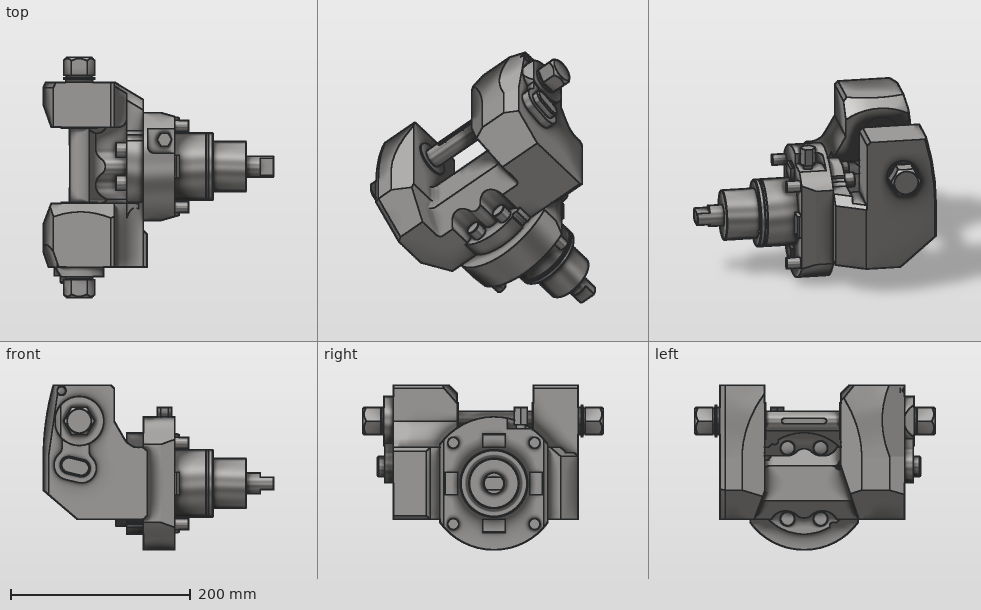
import cadquery as cq
import math


FLANGE_R = 74.0
FLANGE_T = 35.0
FLANGE_HALF_W = 60.0
FLANGE_CHAMFER_X = 15.5
FLANGE_CHAMFER_Y = 4.4
PORT_X, PORT_Y = -11.5, 30.0
PORT_FLOOR_Z = 60.7
PORT_NECK_R, PORT_NECK_H = 5.0, 4.8
PORT_HEX_AC, PORT_TOP_Z = 16.5, 84.5
POCKET_X0, POCKET_Y0, POCKET_R = -30.0, 15.0, 7.0

HUB_R, HUB_L = 37.6, 42.8
HUB_GROOVES = ((34.4, 0.4), (37.0, 0.9))
GROOVE_DEPTH = 0.5
HUB_CHAMFER = 1.0
NOSE_R, NOSE_END, NOSE_CHAMFER = 27.9, 79.5, 0.8
SHAFT_R, SHAFT_END, SHAFT_CHAMFER = 11.75, 110.0, 0.8
TANG_START, TANG_HALF_T = 95.2, 6.9

KEY_W, KEY_T, KEY_R0, KEY_R1 = 25.0, 4.8, 40.0, 55.0
KEY_CHAMFER_X, KEY_CHAMFER_R = 2.4, 1.0
STUD_R, STUD_L, STUD_POS = 6.1, 15.3, 45.2

DISC_R = 56.4
DISC_T = 18.5
RELIEF_Y, RELIEF_Z = 28.7, 45.6
RELIEF_GROOVE, RELIEF_CREST, RELIEF_END_Y = (32.8, 43.2), (35.8, 44.2), 47.3
HEAD_R, HEAD_L, HEAD_Y, HEAD_Z = 8.1, 12.2, 18.35, 39.3
HEAD_CHAMFER = 0.5
BACK_X = -FLANGE_T
DISC_X = BACK_X - DISC_T

BODY_LENGTH = 256.27
BASE_HALF_H = 40.0
TOP_Z = 109.4
FRONT_X = SHAFT_END - BODY_LENGTH
CURVE_START_Z = 28.8
TOP_FRONT_X = -135.0
SLOPE_X, SLOPE_Z = -108.3, -7.5
ARM_REAR_X, ARM_REAR_CHAMFER = -67.2, 3.8
NEAR_OUT_Y, NEAR_IN_Y = -111.9, -40.9
FAR_OUT_Y, FAR_IN_Y = 93.5, 43.9
NECK_R, NECK_X, NECK_ANGLE = 18.2, -40.0, 60.0
PAD_T, PAD_IN_Y, PAD_CHAMFER = 4.2, -71.0, 4.15

TAPER_X = -137.4
NEAR_TAPER_Y, FAR_TAPER_Y = -64.2, 68.9
OUTER_TAPER_Y, OUTER_TAPER_X = -95.0, -140.4
OUTER_TAPER_Z, OUTER_TAPER_LEAN = 30.0, 11.4
FAR_CHAMFER_Y, FAR_CHAMFER_X = 5.8, 2.5
CONE_X, CONE_Z, CONE_R, CONE_DEPTH = -105.0, 30.0, 70.0, 20.0
TIP_HOLE_X, TIP_HOLE_Z, TIP_HOLE_R, TIP_HOLE_DEPTH = -126.1, 103.0, 4.7, 4.8
TIP_HOLE_CHAMFER = 0.5

BRIDGE_X, BRIDGE_HALF_H = -103.0, 19.5
BRIDGE_TOP_SLOPE, BRIDGE_LOW_SLOPE = 0.74, 0.857
NEAR_FLARE_Z, NEAR_FLARE_Y = BRIDGE_HALF_H, -61.0
FAR_FLARE_Z, FAR_FLARE_Y = -9.0, 55.6
WALL_FILLET = 5.6
SCALLOP_R, SCALLOP_Y, SCALLOP_Z = 18.0, 20.5, 30.5
RIDGE_HALF_W, RIDGE_Z = 7.0, 38.5
LEDGE_Z, LEDGE_R = 34.0, 9.0
SPOT_X, SPOT_Y, SPOT_R, SPOT_FLOOR_Z = -86.5, 47.9, 10.8, 25.5
BEVEL_FRONT = (DISC_X, -62.0, 47.5)
BEVEL_SIDE = (-40.0, -47.0, 40.0)
BEVEL_INNER = (-48.8, NEAR_IN_Y, 40.0)
DIAGONAL_START_X, DIAGONAL_END_Y = -66.4, 74.5
DIAGONAL_CHAMFER = 10.0

BAR_X, BAR_Z, BAR_R = -106.3, 69.4, 11.0
BAR_SLOT_L, BAR_SLOT_W, BAR_SLOT_DEPTH = 50.0, 5.7, 2.0
COLLAR_R, COLLAR_T = 20.2, 1.5
NUT_AF, NUT_FACE_R = 30.2, 13.4
NUT_WASHER_R, NUT_NECK_R, NUT_WASHER_SHARE = 15.1, 14.2, 0.75
NUT_SPAN = 267.7
FAR_END_Y, NUT_L = 121.7, 20.2
NEAR_END_Y = FAR_END_Y - NUT_SPAN
FAR_RING_R, FAR_RING_Y, FAR_RING_T = 17.4, 97.0, 1.8
BOSS_R, BOSS_END_Y = 27.3, -122.3
BOSS_CUT_X0, BOSS_CUT_X1 = -133.0, -126.8
LEVER_R, LEVER_X, LEVER_Z, LEVER_END_Y = 16.5, -110.75, 18.7, -121.5
LEVER_SPAN, LEVER_ANGLE = 14.5, -13.6
LEVER_NECK_X0, LEVER_NECK_X1, LEVER_FILLET = -125.3, -95.2, 10.0
KNOB_R, KNOB_END_Y, KNOB_CHAMFER = 9.6, -129.8, 1.6

BIG = 400.0


def cyl_x(radius, x0, x1, y=0.0, z=0.0):
    return cq.Workplane("YZ", origin=(x0, y, z)).circle(radius).extrude(x1 - x0)


def cyl_y(radius, y0, y1, x=BAR_X, z=BAR_Z):
    return cq.Workplane("XZ", origin=(x, y0, z)).circle(radius).extrude(y0 - y1)


def box(x0, x1, y0, y1, z0, z1):
    return cq.Workplane("XY").box(x1 - x0, y1 - y0, z1 - z0, centered=False).translate((x0, y0, z0))


def prism_y(points, y0, y1):
    return cq.Workplane("XZ", origin=(0, y1, 0)).polyline(points).close().extrude(y1 - y0)


def prism_z(points, z0=-BIG / 2, z1=BIG / 2):
    return cq.Workplane("XY", origin=(0, 0, z0)).polyline(points).close().extrude(z1 - z0)


def make_spindle():
    hub = cyl_x(HUB_R, 0, HUB_L).faces(">X").chamfer(HUB_CHAMFER)
    for start, width in HUB_GROOVES:
        groove = cyl_x(HUB_R + 1, start, start + width)
        hub = hub.cut(groove.cut(cyl_x(HUB_R - GROOVE_DEPTH, start, start + width)))
    nose = cyl_x(NOSE_R, 0, NOSE_END).faces(">X").chamfer(NOSE_CHAMFER)
    shaft = cyl_x(SHAFT_R, 0, SHAFT_END).faces(">X").chamfer(SHAFT_CHAMFER)
    for side in (0, 180):
        flat = box(TANG_START, SHAFT_END, -SHAFT_R, SHAFT_R, TANG_HALF_T, SHAFT_R)
        shaft = shaft.cut(flat.rotate((0, 0, 0), (1, 0, 0), side))
    return hub.union(nose).union(shaft)


def make_flange():
    edge_y = FLANGE_HALF_W - FLANGE_CHAMFER_Y
    outline = prism_z([
        (BACK_X, -FLANGE_HALF_W), (-FLANGE_CHAMFER_X, -FLANGE_HALF_W), (0, -edge_y),
        (0, edge_y), (-FLANGE_CHAMFER_X, FLANGE_HALF_W), (BACK_X, FLANGE_HALF_W),
    ])
    flange = cyl_x(FLANGE_R, BACK_X, 0).intersect(outline)
    pocket = box(POCKET_X0, POCKET_R, POCKET_Y0, FLANGE_HALF_W, PORT_FLOOR_Z, FLANGE_R + 1)
    pocket = pocket.edges("|Z and <X and <Y").fillet(POCKET_R)
    flange = flange.cut(pocket)
    neck_top = PORT_FLOOR_Z + PORT_NECK_H
    plug = cq.Workplane("XY", origin=(PORT_X, PORT_Y, PORT_FLOOR_Z)).circle(PORT_NECK_R).extrude(PORT_NECK_H)
    head = cq.Workplane("XY", origin=(PORT_X, PORT_Y, neck_top)).polygon(6, PORT_HEX_AC)
    return flange.union(plug).union(head.extrude(PORT_TOP_Z - neck_top))


def make_seat_keys_and_studs():
    key = prism_y([
        (0, KEY_R0), (KEY_T, KEY_R0), (KEY_T, KEY_R1 - KEY_CHAMFER_R),
        (KEY_T - KEY_CHAMFER_X, KEY_R1), (0, KEY_R1),
    ], -KEY_W / 2, KEY_W / 2)
    stud = cyl_x(STUD_R, 0, STUD_L, STUD_POS, STUD_POS)
    parts = cq.Workplane("XY")
    for quarter in range(4):
        pair = key.union(stud).rotate((0, 0, 0), (1, 0, 0), 90 * quarter)
        parts = parts.add(pair)
    return parts.combine()


def make_bearing_disc():
    """Round disc with stepped reliefs on two opposite corners."""
    disc = cyl_x(DISC_R, DISC_X, BACK_X)
    relief = (
        cq.Workplane("YZ", origin=(DISC_X, 0, 0))
        .moveTo(RELIEF_Y, DISC_R).lineTo(RELIEF_Y, RELIEF_Z)
        .threePointArc(RELIEF_GROOVE, RELIEF_CREST)
        .lineTo(RELIEF_END_Y, BASE_HALF_H).lineTo(DISC_R, BASE_HALF_H).lineTo(DISC_R, DISC_R)
        .close().extrude(DISC_T)
    )
    for half_turn in (0, 180):
        disc = disc.cut(relief.rotate((0, 0, 0), (1, 0, 0), half_turn))
    return disc


def make_bolt_heads():
    heads = cq.Workplane("XY")
    for y in (-HEAD_Y, HEAD_Y):
        for z in (-HEAD_Z, HEAD_Z):
            head = cyl_x(HEAD_R, DISC_X - HEAD_L, DISC_X, y, z)
            heads = heads.add(head.faces("<X").chamfer(HEAD_CHAMFER))
    return heads.combine()


def arm_front(start):
    """Lower edge, front slope, curved nose and top edge shared by both arm outlines."""
    rise = TOP_Z - CURVE_START_Z
    back = TOP_FRONT_X - FRONT_X
    radius = (rise ** 2 + back ** 2) / (2 * back)
    half = 0.5 * math.asin(rise / radius)
    middle = (FRONT_X + radius * (1 - math.cos(half)), CURVE_START_Z + radius * math.sin(half))
    return (
        cq.Workplane("XZ", origin=start)
        .moveTo(BACK_X, -BASE_HALF_H)
        .lineTo(SLOPE_X, -BASE_HALF_H)
        .lineTo(FRONT_X, SLOPE_Z)
        .lineTo(FRONT_X, CURVE_START_Z)
        .threePointArc(middle, (TOP_FRONT_X, TOP_Z))
        .lineTo(ARM_REAR_X - ARM_REAR_CHAMFER, TOP_Z)
        .lineTo(ARM_REAR_X, TOP_Z - ARM_REAR_CHAMFER)
    )


def inner_taper(inner_y, end_y):
    slope = (end_y - inner_y) / (FRONT_X - TAPER_X)
    side = -math.copysign(1, inner_y)
    beyond = (TAPER_X + side / slope, inner_y + side)
    reach = 1.5 * (end_y - inner_y)
    return prism_z([beyond, (TAPER_X + reach / slope, inner_y + reach), (TAPER_X + reach / slope, beyond[1])])


def outer_taper():
    """Corner cut of the near arm: upright below, leaning back above."""
    slope = (OUTER_TAPER_X - FRONT_X) / (NEAR_OUT_Y - OUTER_TAPER_Y)
    low_y = NEAR_OUT_Y - 3
    far_x = FRONT_X - 15
    corner = [
        (OUTER_TAPER_X + slope * (low_y - NEAR_OUT_Y), low_y),
        (far_x, NEAR_OUT_Y + (far_x - OUTER_TAPER_X) / slope),
        (far_x, low_y),
    ]
    upper_h = TOP_Z - OUTER_TAPER_Z
    leaned = [(x + OUTER_TAPER_LEAN, y) for x, y in corner]
    upper = (
        cq.Workplane("XY", origin=(0, 0, OUTER_TAPER_Z)).polyline(corner).close()
        .workplane(offset=upper_h).polyline(leaned).close().loft(ruled=True)
    )
    return prism_z(corner, z1=OUTER_TAPER_Z).union(upper)


def make_near_arm():
    angle = math.radians(NECK_ANGLE)
    line_end = (
        NECK_X - NECK_R * math.sin(angle),
        BASE_HALF_H + NECK_R * (1 - math.cos(angle)),
    )
    arc_middle = (
        NECK_X - NECK_R * math.sin(angle / 2),
        BASE_HALF_H + NECK_R * (1 - math.cos(angle / 2)),
    )
    line_start_z = line_end[1] + (line_end[0] - ARM_REAR_X) * math.tan(angle)
    arm = (
        arm_front((0, NEAR_IN_Y, 0))
        .lineTo(ARM_REAR_X, line_start_z)
        .lineTo(*line_end)
        .threePointArc(arc_middle, (NECK_X, BASE_HALF_H))
        .lineTo(BACK_X, BASE_HALF_H)
        .close().extrude(NEAR_IN_Y - NEAR_OUT_Y)
    )
    arm = arm.cut(inner_taper(NEAR_IN_Y, NEAR_TAPER_Y)).cut(outer_taper())

    ring = cq.Workplane("XZ", origin=(CONE_X, NEAR_IN_Y, CONE_Z))
    outside = ring.circle(BIG / 2).extrude(CONE_DEPTH)
    cone = ring.circle(CONE_R).workplane(offset=CONE_DEPTH).circle(CONE_R + CONE_DEPTH).loft()
    relief = outside.cut(cone).intersect(box(-BIG, BIG, -BIG, BIG, BAR_Z, BIG))
    arm = arm.cut(relief)

    hole = cyl_y(TIP_HOLE_R, NEAR_OUT_Y, NEAR_OUT_Y + TIP_HOLE_DEPTH, TIP_HOLE_X, TIP_HOLE_Z)
    mouth = cq.Workplane("XZ", origin=(TIP_HOLE_X, NEAR_OUT_Y, TIP_HOLE_Z))
    mouth = mouth.circle(TIP_HOLE_R + TIP_HOLE_CHAMFER).extrude(-TIP_HOLE_CHAMFER, taper=45)
    arm = arm.cut(hole).cut(mouth)

    pad = box(BACK_X, BACK_X + PAD_T, NEAR_OUT_Y, PAD_IN_Y, -BASE_HALF_H, BASE_HALF_H)
    pad = pad.faces(">X").edges(">Y or >Z or <Z").chamfer(PAD_CHAMFER)
    return arm.union(pad)


def make_far_arm():
    arm = (
        arm_front((0, FAR_OUT_Y, 0))
        .lineTo(ARM_REAR_X, LEDGE_Z)
        .lineTo(DISC_X, LEDGE_Z)
        .lineTo(DISC_X, BASE_HALF_H)
        .lineTo(BACK_X, BASE_HALF_H)
        .close().extrude(FAR_OUT_Y - FAR_IN_Y)
    )
    front_edges = cq.selectors.BoxSelector(
        (FRONT_X - 5, FAR_OUT_Y - 1, -BASE_HALF_H + 1), (SLOPE_X - 1, FAR_OUT_Y + 1, TOP_Z - 1))
    arm = arm.edges(front_edges).chamfer(FAR_CHAMFER_Y, FAR_CHAMFER_X)
    arm = arm.cut(inner_taper(FAR_IN_Y, FAR_TAPER_Y))

    start = (DIAGONAL_START_X, FAR_OUT_Y)
    end = (BACK_X, DIAGONAL_END_Y)
    arm = arm.cut(prism_z([start, end, (BACK_X + 1, DIAGONAL_END_Y), (BACK_X + 1, FAR_OUT_Y + 1),
                           (DIAGONAL_START_X, FAR_OUT_Y + 1)]))
    run = math.hypot(end[0] - start[0], end[1] - start[1])
    along = cq.Vector(end[0] - start[0], end[1] - start[1], 0)
    bevel_plane = cq.Plane(origin=(*start, BASE_HALF_H), xDir=(-along.y / run, along.x / run, 0),
                           normal=along.toTuple())
    bevel = cq.Workplane(bevel_plane).polyline([
        (-DIAGONAL_CHAMFER, 0), (1, -DIAGONAL_CHAMFER - 1), (1, 1), (-DIAGONAL_CHAMFER, 1),
    ]).close().extrude(2 * run, both=True)
    return arm.cut(bevel.intersect(box(ARM_REAR_X, 0, 0, BIG, 0, BIG)))


def make_window():
    """Open space between the arms, in front of and around the bridge."""
    near_run = (NEAR_FLARE_Y - NEAR_IN_Y) / (NEAR_FLARE_Z + BASE_HALF_H)
    far_run = (FAR_FLARE_Y - FAR_IN_Y) / (FAR_FLARE_Z + BASE_HALF_H)
    floor_z = -BASE_HALF_H - 10
    space = cq.Workplane("YZ", origin=(FRONT_X - 10, 0, 0)).polyline([
        (FAR_IN_Y, TOP_Z + 1), (FAR_IN_Y, FAR_FLARE_Z),
        (FAR_IN_Y + far_run * (FAR_FLARE_Z - floor_z), floor_z),
        (NEAR_IN_Y + near_run * (NEAR_FLARE_Z - floor_z), floor_z), (NEAR_IN_Y, NEAR_FLARE_Z),
        (NEAR_IN_Y, TOP_Z + 1),
    ]).close().extrude(DISC_X - FRONT_X + 10)
    return space.cut(make_bridge())


def make_bridge():
    rise = BASE_HALF_H - BRIDGE_HALF_H
    return prism_y([
        (DISC_X, -BASE_HALF_H),
        (BRIDGE_X + rise / BRIDGE_LOW_SLOPE, -BASE_HALF_H),
        (BRIDGE_X, -BRIDGE_HALF_H),
        (BRIDGE_X, BRIDGE_HALF_H),
        (BRIDGE_X + rise / BRIDGE_TOP_SLOPE, BASE_HALF_H),
        (DISC_X, BASE_HALF_H),
    ], NEAR_FLARE_Y - 10, FAR_FLARE_Y + 10)


def scallop(far_side_open):
    """Clearance along X for two bolt heads, with a rounded ridge between them."""
    centre_z = SCALLOP_Z + SCALLOP_R
    ridge_edge_z = centre_z - math.sqrt(SCALLOP_R ** 2 - (SCALLOP_Y - RIDGE_HALF_W) ** 2)
    middle_y = 0.5 * (SCALLOP_Y + RIDGE_HALF_W)
    middle_z = centre_z - math.sqrt(SCALLOP_R ** 2 - (SCALLOP_Y - middle_y) ** 2)
    outline = cq.Workplane("YZ", origin=(BRIDGE_X, 0, 0))
    if far_side_open:
        outline = outline.moveTo(FAR_IN_Y, centre_z).lineTo(FAR_IN_Y, SCALLOP_Z).lineTo(SCALLOP_Y, SCALLOP_Z)
        outline = outline.threePointArc((middle_y, middle_z), (RIDGE_HALF_W, ridge_edge_z))
    else:
        outline = outline.moveTo(SCALLOP_Y + SCALLOP_R, centre_z)
        outline = outline.threePointArc((SCALLOP_Y, SCALLOP_Z), (RIDGE_HALF_W, ridge_edge_z))
    return (
        outline.threePointArc((0, RIDGE_Z), (-RIDGE_HALF_W, ridge_edge_z))
        .threePointArc((-SCALLOP_Y, SCALLOP_Z), (-SCALLOP_Y - SCALLOP_R, centre_z))
        .close().extrude(DISC_X - BRIDGE_X)
    )


def ledge_corner():
    corner_x = DISC_X - LEDGE_R
    bend = LEDGE_R * math.sqrt(0.5)
    return (
        cq.Workplane("XY", origin=(0, 0, SCALLOP_Z))
        .moveTo(corner_x, FAR_IN_Y)
        .threePointArc((corner_x + bend, FAR_IN_Y + LEDGE_R - bend), (DISC_X, FAR_IN_Y + LEDGE_R))
        .lineTo(DISC_X, FAR_IN_Y).close().extrude(BASE_HALF_H - SCALLOP_Z)
    )


def spot_face():
    """Round seat sunk into the upper bridge slope beside the far arm."""
    seat = cq.Workplane("XY", origin=(SPOT_X, SPOT_Y, SPOT_FLOOR_Z)).circle(SPOT_R)
    seat = seat.extrude(BASE_HALF_H - SPOT_FLOOR_Z)
    return seat.intersect(box(-BIG, BIG, 0, FAR_IN_Y, 0, BIG))


def neck_bevel():
    """Flat cut over the inner end of the neck groove."""
    front = cq.Vector(*BEVEL_FRONT)
    normal = (cq.Vector(*BEVEL_SIDE) - front).cross(cq.Vector(*BEVEL_INNER) - front)
    plane = cq.Plane(origin=BEVEL_FRONT, normal=normal.toTuple())
    above = cq.Workplane(plane).rect(BIG, BIG).extrude(BIG / 10)
    return above.intersect(box(DISC_X, BEVEL_SIDE[0], BEVEL_FRONT[1], NEAR_IN_Y, 0, TOP_Z))


def make_body():
    base = box(DISC_X, BACK_X, NEAR_IN_Y, FAR_IN_Y, -BASE_HALF_H, BASE_HALF_H)
    web = make_bridge().intersect(box(-BIG, BIG, NEAR_IN_Y, FAR_IN_Y, -BIG, BIG))
    window = make_window()
    arms = make_near_arm().cut(window).union(make_far_arm().cut(window))
    body = arms.union(base).union(web)

    low_z = 1 - BASE_HALF_H
    near_corner = cq.selectors.BoxSelector(
        (BRIDGE_X - 1, NEAR_FLARE_Y, low_z), (DISC_X, NEAR_IN_Y + 1, BASE_HALF_H - 1))
    far_corner = cq.selectors.BoxSelector(
        (BRIDGE_X - 1, FAR_IN_Y - 1, low_z), (DISC_X, FAR_FLARE_Y, BRIDGE_HALF_H))
    body = body.edges(near_corner + far_corner).fillet(WALL_FILLET)

    low_scallop = scallop(False).mirror("XY")
    for clearance in (scallop(True), low_scallop, ledge_corner(), spot_face(), neck_bevel()):
        body = body.cut(clearance)
    return body


def make_bar():
    bar = cyl_y(BAR_R, NEAR_OUT_Y, FAR_OUT_Y)
    slot = cq.Workplane("YZ", origin=(BAR_X - BAR_R, 0, BAR_Z)).slot2D(BAR_SLOT_L, BAR_SLOT_W)
    bar = bar.cut(slot.extrude(BAR_SLOT_DEPTH))
    bar = bar.union(cyl_y(COLLAR_R, NEAR_IN_Y, NEAR_IN_Y + COLLAR_T))
    return bar.union(cyl_y(COLLAR_R, FAR_IN_Y - COLLAR_T, FAR_IN_Y))


def make_nut(end_y, seat_y):
    """Hexagon nut whose outer face lies at end_y, with a collar down to seat_y."""
    side = math.copysign(1, end_y)
    inner_y = end_y - side * NUT_L
    corner_r = NUT_AF / math.sqrt(3)
    hexagon = cq.Workplane("XZ", origin=(BAR_X, inner_y, BAR_Z)).polygon(6, 2 * corner_r)
    hexagon = hexagon.extrude(-side * NUT_L)
    crown = cyl_y(corner_r, inner_y, end_y)
    crown = crown.faces(">Y" if side > 0 else "<Y").chamfer(corner_r - NUT_FACE_R)
    neck = cyl_y(NUT_NECK_R, seat_y, inner_y)
    collar = cyl_y(NUT_WASHER_R, seat_y, seat_y + NUT_WASHER_SHARE * (inner_y - seat_y))
    return hexagon.intersect(crown).union(neck).union(collar)


def make_boss_and_lever():
    boss = cyl_y(BOSS_R, BOSS_END_Y, NEAR_OUT_Y)
    boss = boss.cut(prism_z([(BOSS_CUT_X0, NEAR_OUT_Y), (BOSS_CUT_X1, BOSS_END_Y),
                             (BOSS_CUT_X1 - BOSS_R, BOSS_END_Y), (BOSS_CUT_X0 - BOSS_R, NEAR_OUT_Y)]))
    plane = cq.Workplane("XZ", origin=(LEVER_X, NEAR_OUT_Y, LEVER_Z))
    lever = plane.slot2D(LEVER_SPAN + 2 * LEVER_R, 2 * LEVER_R, LEVER_ANGLE).extrude(NEAR_OUT_Y - LEVER_END_Y)
    neck_top = BAR_Z - BOSS_R / 2
    lever = lever.union(box(LEVER_NECK_X0, LEVER_NECK_X1, LEVER_END_Y, NEAR_OUT_Y, LEVER_Z, neck_top))
    crotch = cq.selectors.BoxSelector((-BIG, -BIG, LEVER_Z), (BIG, BIG, neck_top - 5))
    lever = lever.edges("|Y").edges(crotch).fillet(LEVER_FILLET)
    knob = plane.slot2D(LEVER_SPAN + 2 * KNOB_R, 2 * KNOB_R, LEVER_ANGLE).extrude(NEAR_OUT_Y - KNOB_END_Y)
    knob = knob.faces("<Y").chamfer(KNOB_CHAMFER)
    return boss.union(lever).union(knob)


result = make_body()
for part in (
    make_bearing_disc(),
    make_bolt_heads(),
    make_flange(),
    make_spindle(),
    make_seat_keys_and_studs(),
    make_bar(),
    make_nut(FAR_END_Y, FAR_OUT_Y),
    cyl_y(FAR_RING_R, FAR_RING_Y, FAR_RING_Y + FAR_RING_T),
    make_boss_and_lever(),
    make_nut(NEAR_END_Y, BOSS_END_Y),
):
    result = result.union(part)